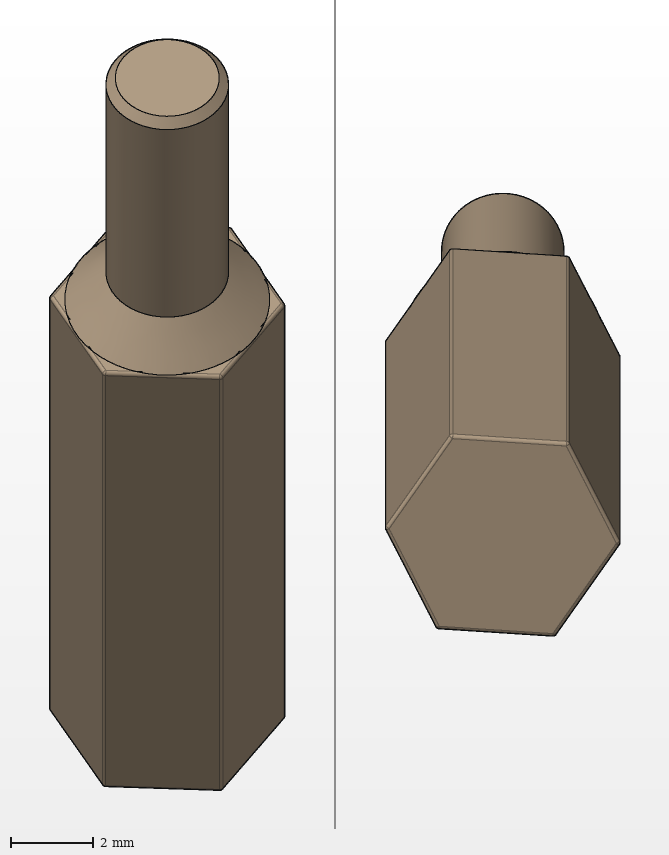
import cadquery as cq
import math

total_height = 23.0
hex_height = 15.0
across_flats = 5.0
stud_diameter = 3.0
stud_chamfer = 0.23
edge_radius = 0.1

stud_radius = stud_diameter / 2
cone_base_radius = across_flats / 2
cone_height = cone_base_radius - stud_radius
across_corners = across_flats / math.cos(math.radians(30))


def hex_body():
    """Hexagonal spacer body, corners on the X axis, with slightly rounded edges."""
    body = cq.Workplane("XY").polygon(6, across_corners).extrude(hex_height)
    return body.edges().fillet(edge_radius)


def shoulder_and_stud():
    """Conical shoulder on top of the body, leading to the chamfered stud."""
    profile = [
        (0, hex_height),
        (cone_base_radius, hex_height),
        (stud_radius, hex_height + cone_height),
        (stud_radius, total_height - stud_chamfer),
        (stud_radius - stud_chamfer, total_height),
        (0, total_height),
    ]
    return cq.Workplane("XZ").polyline(profile).close().revolve(360, (0, 0), (0, 1))


result = hex_body().union(shoulder_and_stud())